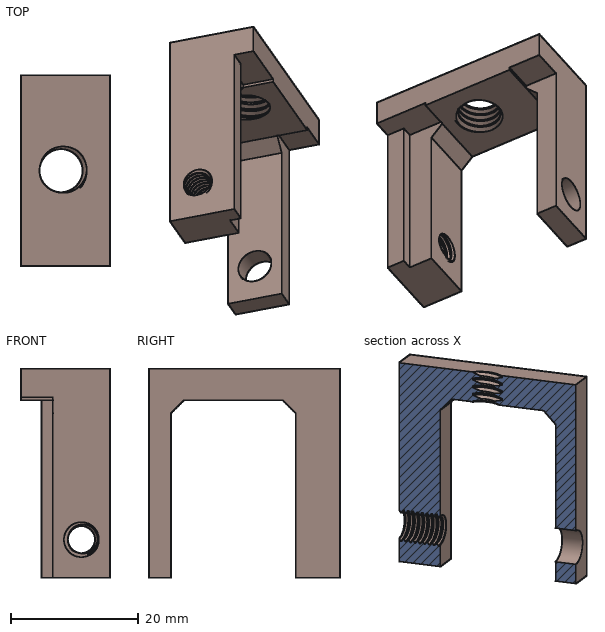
import cadquery as cq
import math


LENGTH_X = 14.0
WIDTH_Y = 30.03
HEIGHT_Z = 32.88
Y_MIN = -WIDTH_Y / 2
Y_MAX = WIDTH_Y / 2

PLATE_THICKNESS = 5.0
OVERHANG_THICKNESS = 4.5
OVERHANG = 5.0

THICK_LEG = 7.0
THIN_LEG = 3.5
CORNER_CHAMFER = 2.0

RIB_WIDTH = 3.0
RIB_PROJECTION = 1.8

PLATE_THREAD_DIAMETER = 8.0
PLATE_THREAD_PITCH = 1.25
PLATE_THREAD_X = 6.3
LEG_THREAD_DIAMETER = 5.0
LEG_THREAD_PITCH = 0.8
THREAD_CLEARANCE = 0.1
THREAD_ANGLE = 60.0
THREAD_START_ANGLE = 26.0

CLEARANCE_DIAMETER = 5.5
CROSS_HOLE_FROM_BACK = 4.5
CROSS_HOLE_FROM_BOTTOM = 6.0
CROSS_HOLE_X = LENGTH_X - CROSS_HOLE_FROM_BACK
CROSS_HOLE_Z = CROSS_HOLE_FROM_BOTTOM - HEIGHT_Z

OPENING_Y_MIN = Y_MIN + THIN_LEG
OPENING_Y_MAX = Y_MAX - THICK_LEG


def box(x_range, y_range, z_range):
    """Box between the given limits along each axis."""
    size = [end - start for start, end in (x_range, y_range, z_range)]
    corner = (x_range[0], y_range[0], z_range[0])
    return cq.Workplane("XY").box(*size, centered=False).translate(corner)


def make_bracket():
    """U-shaped bracket with chamfered inner corners, before the front is cut back."""
    block = box((0, LENGTH_X), (Y_MIN, Y_MAX), (-HEIGHT_Z, 0))
    opening = box((0, LENGTH_X), (OPENING_Y_MIN, OPENING_Y_MAX), (-HEIGHT_Z, -PLATE_THICKNESS))
    opening = opening.edges("|X and >Z").chamfer(CORNER_CHAMFER)
    return block.cut(opening)


def make_front_relief():
    """Material removed in front of the legs, leaving the rib on the thick leg."""
    relief_z = (-HEIGHT_Z, -OVERHANG_THICKNESS)
    thin_side = box((0, OVERHANG), (Y_MIN, OPENING_Y_MIN + CORNER_CHAMFER), relief_z)
    thick_side = box((0, OVERHANG), (OPENING_Y_MAX - CORNER_CHAMFER, Y_MAX), relief_z)
    rib = box((OVERHANG - RIB_PROJECTION, OVERHANG), (Y_MAX - RIB_WIDTH, Y_MAX), relief_z)
    return thin_side.union(thick_side).cut(rib)


def cut_threaded_hole(body, entry_plane, diameter, pitch, depth):
    """Cut a right-hand thread of the given depth, entering at the plane's origin."""
    flank_slope = math.tan(math.radians(90 - THREAD_ANGLE / 2))

    opening_half_width = pitch * 3 / 8
    root_half_width = pitch / 16
    thread_depth = (opening_half_width - root_half_width) * flank_slope
    major_radius = (diameter + THREAD_CLEARANCE) / 2
    minor_radius = major_radius - thread_depth

    overlap = thread_depth / 10
    overlap_half_width = opening_half_width + overlap / flank_slope
    turns = math.ceil(depth / pitch) + 2
    start_z = -(turns - 1) * pitch
    helix = cq.Wire.makeHelix(pitch, turns * pitch, minor_radius)
    groove = (
        cq.Workplane("XZ")
        .polyline([
            (minor_radius - overlap, -overlap_half_width),
            (major_radius, -root_half_width),
            (major_radius, root_half_width),
            (minor_radius - overlap, overlap_half_width),
        ])
        .close()
        .sweep(cq.Workplane(helix), isFrenet=True)
        .translate((0, 0, start_z))
        .rotate((0, 0, 0), (0, 0, 1), THREAD_START_ANGLE)
    )
    bore = cq.Workplane("XY").circle(minor_radius).extrude(-depth)
    placement = cq.Location(entry_plane)
    return body.cut(groove.val().moved(placement)).cut(bore.val().moved(placement))


def cut_clearance_hole(body):
    """Plain hole through the thin leg, in line with the threaded hole in the thick leg."""
    outer_face = cq.Plane((CROSS_HOLE_X, Y_MIN, CROSS_HOLE_Z), xDir=(1, 0, 0), normal=(0, -1, 0))
    hole = cq.Workplane(outer_face).circle(CLEARANCE_DIAMETER / 2).extrude(-THIN_LEG)
    return body.cut(hole)


plate_top = cq.Plane((PLATE_THREAD_X, 0, 0), xDir=(1, 0, 0), normal=(0, 0, 1))
thick_leg_inner_face = cq.Plane(
    (CROSS_HOLE_X, OPENING_Y_MAX, CROSS_HOLE_Z), xDir=(1, 0, 0), normal=(0, -1, 0)
)

bracket = make_bracket().cut(make_front_relief())
bracket = cut_threaded_hole(
    bracket, plate_top, PLATE_THREAD_DIAMETER, PLATE_THREAD_PITCH, PLATE_THICKNESS
)
bracket = cut_threaded_hole(
    bracket, thick_leg_inner_face, LEG_THREAD_DIAMETER, LEG_THREAD_PITCH, THICK_LEG
)
result = cut_clearance_hole(bracket).solids()